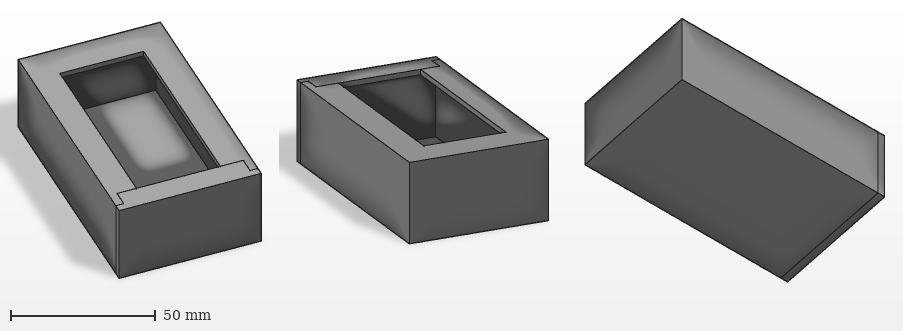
import cadquery as cq

LENGTH = 90.1
WIDTH = 53.2
HEIGHT = 30.0

WALL = 3.0
ROOF = 2.0
TONGUE_REACH = 6.0

WINDOW_START = 12.6
WINDOW_FRONT = 10.3
WINDOW_WIDTH = 31.35

housing_length = LENGTH - WALL
tongue_start = housing_length - TONGUE_REACH
plug_start = housing_length - WALL
cavity_width = WIDTH - 2 * WALL
roof_underside = HEIGHT - ROOF


def block(x_range, y_start, y_size, z_range):
    """Return a box spanning two X values, a Y start and size, and two Z values."""
    x_start, x_end = x_range
    z_start, z_end = z_range
    return cq.Workplane("XY").box(
        x_end - x_start, y_size, z_end - z_start, centered=False
    ).translate((x_start, y_start, z_start))


def make_housing():
    """Box with a roof window, open at its +X end."""
    body = block((0, housing_length), 0, WIDTH, (0, HEIGHT))
    cavity = block((WALL, housing_length), WALL, cavity_width, (WALL, roof_underside))
    window = block((WINDOW_START, tongue_start), WINDOW_FRONT, WINDOW_WIDTH, (roof_underside, HEIGHT))
    tongue_notch = block((tongue_start, housing_length), WALL, cavity_width, (roof_underside, HEIGHT))
    return body.cut(cavity).cut(window).cut(tongue_notch)


def make_end_cap():
    """Plate closing the +X end, with a plug in the cavity and a tongue that completes the roof."""
    plate = block((housing_length, LENGTH), 0, WIDTH, (0, HEIGHT))
    plug = block((plug_start, housing_length), WALL, cavity_width, (WALL, HEIGHT))
    tongue = block((tongue_start, housing_length), WALL, cavity_width, (roof_underside, HEIGHT))
    return plate.union(plug).union(tongue)


housing = make_housing()
end_cap = make_end_cap()

result = cq.Compound.makeCompound([housing.val(), end_cap.val()])